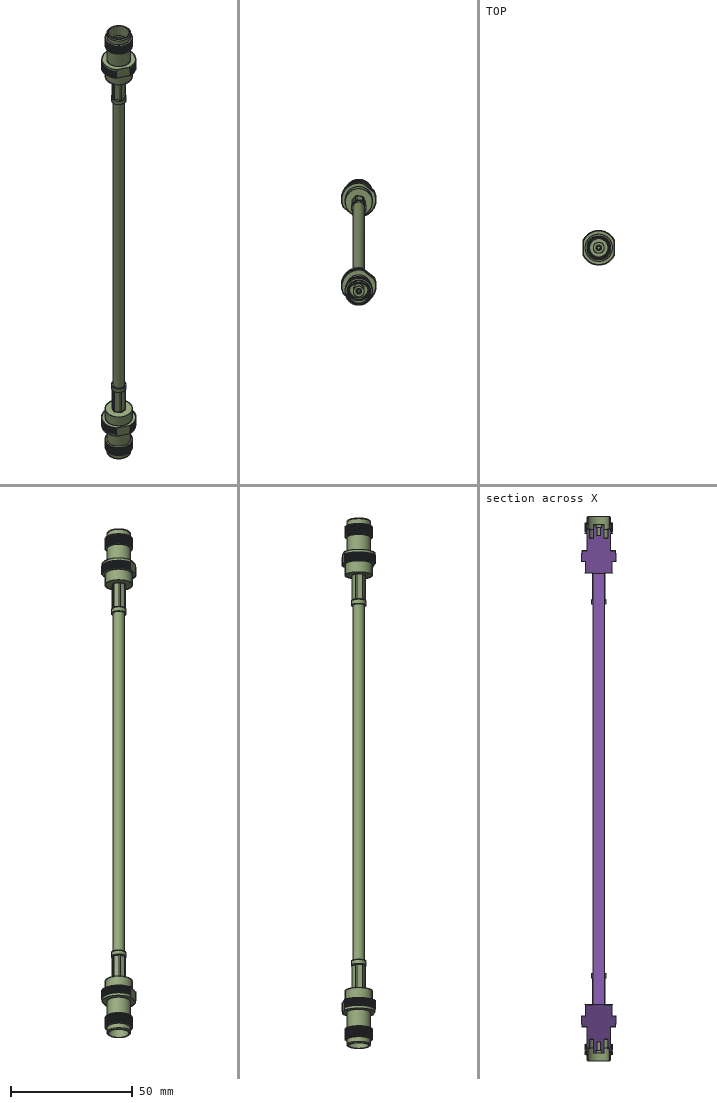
import cadquery as cq
import math

overall_length = 224.5
half_length = overall_length / 2

barrel_radius = 5.0
tip_chamfer = 0.5
thread_start = 2.5
thread_pitch = 0.7
thread_turns = 7
thread_depth = 0.7
crest_width = 0.2
collar_start = 14.1
collar_rim_length = 1.1
collar_end = 18.6
collar_radius = 7.2
collar_across_flats = 12.8
knurl_depth = 0.2
knurl_count = 80
back_radius = 5.5
shell_end = 23.3

mouth_radius = 4.3
mouth_depth = 5.4
socket_radius = 3.8
socket_depth = 9.0
insulator_radius = 2.2
insulator_setback = 3.4
contact_recess_radius = 1.1
contact_recess_depth = 1.1
contact_hole_radius = 0.7
contact_hole_depth = 4.5

hexagon_across_flats = 5.2
hexagon_corner_radius = 5.5 / 2
band_radius = 6.0 / 2
band_start = 33.9
band_chamfer = 0.5
ferrule_end = 36.1
cable_radius = 2.5


def cylinder(radius, start, end):
    """Cylinder on the Z axis between two depths below the upper tip."""
    return cq.Workplane("XY").workplane(offset=half_length - end).circle(radius).extrude(end - start)


def threaded_shell():
    """Turned shell: barrel with ring-shaped thread crests, then the wider back section."""
    thread_radius = barrel_radius + thread_depth
    flank = (thread_pitch - crest_width) / 2
    points = [
        (0, 0),
        (barrel_radius - tip_chamfer, 0),
        (barrel_radius, tip_chamfer),
        (barrel_radius, thread_start),
    ]
    for turn in range(thread_turns):
        root = thread_start + turn * thread_pitch
        points.append((thread_radius, root + flank))
        points.append((thread_radius, root + flank + crest_width))
        points.append((barrel_radius, root + thread_pitch))
    points += [
        (barrel_radius, collar_start),
        (back_radius, collar_start),
        (back_radius, shell_end),
        (0, shell_end),
    ]
    outline = [(radius, half_length - depth) for radius, depth in points]
    return cq.Workplane("XZ").polyline(outline).close().revolve(360, (0, 0, 0), (0, 1, 0))


def knurled_collar():
    """Collar with a plain rim, proud straight knurling and two flats facing +X and -X."""
    knurl_start = collar_start + collar_rim_length
    root_radius = collar_radius - knurl_depth
    points = []
    for i in range(2 * knurl_count):
        radius = collar_radius if i % 2 == 0 else root_radius
        angle = math.pi * i / knurl_count
        points.append((radius * math.cos(angle), radius * math.sin(angle)))
    knurl = (
        cq.Workplane("XY")
        .workplane(offset=half_length - collar_end)
        .polyline(points)
        .close()
        .extrude(collar_end - knurl_start)
    )
    rim = cylinder(root_radius, collar_start, knurl_start)
    flats = (
        cq.Workplane("XY")
        .workplane(offset=half_length - collar_end)
        .rect(collar_across_flats, 2 * collar_radius)
        .extrude(collar_end - collar_start)
    )
    return rim.union(knurl).intersect(flats)


def mating_socket():
    """Material removed from the tip, leaving the hollow insulator standing in the socket."""
    insulator = cylinder(insulator_radius, insulator_setback, socket_depth)
    contact_recess = cylinder(
        contact_recess_radius, insulator_setback, insulator_setback + contact_recess_depth
    )
    contact_hole = cylinder(contact_hole_radius, insulator_setback, insulator_setback + contact_hole_depth)
    mouth = cylinder(mouth_radius, 0, mouth_depth)
    bore = cylinder(socket_radius, 0, socket_depth)
    return mouth.union(bore).cut(insulator).union(contact_recess).union(contact_hole)


def make_connector():
    """One-piece connector shell with its collar and mating socket."""
    return threaded_shell().union(knurled_collar()).cut(mating_socket())


def make_ferrule():
    """Hexagonal crimp sleeve with rounded corners and a round end band, bored for the cable."""
    hexagon_across_corners = hexagon_across_flats / math.cos(math.pi / 6)
    hexagon = (
        cq.Workplane("XY")
        .workplane(offset=half_length - ferrule_end)
        .polygon(6, hexagon_across_corners)
        .extrude(ferrule_end - shell_end)
        .intersect(cylinder(hexagon_corner_radius, shell_end, ferrule_end))
    )
    band = cylinder(band_radius, band_start, ferrule_end).faces(">Z").chamfer(band_chamfer)
    cable_hole = cylinder(cable_radius, shell_end, ferrule_end)
    return hexagon.union(band).cut(cable_hole)


def at_both_ends(body):
    """The body at the upper end and its mirror image at the lower end."""
    return [body.solids().val(), body.mirror("XY").solids().val()]


def make_cable():
    """Round cable running between the back faces of the two connectors."""
    return cylinder(cable_radius, shell_end, overall_length - shell_end)


connectors = at_both_ends(make_connector())
ferrules = at_both_ends(make_ferrule())
cable = make_cable()

result = cq.Compound.makeCompound([cable.val(), *connectors, *ferrules])